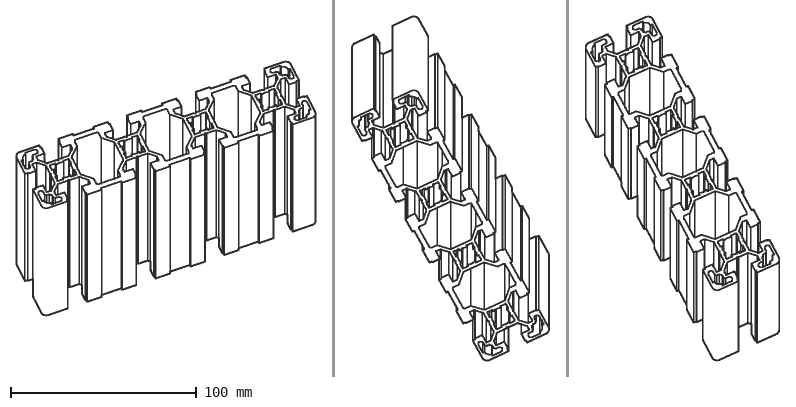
import cadquery as cq
import math

pitch = 40.0
cell_count = 4
length = 100.0
outer_radius = 3.0

mouth_half = 5.1
mouth_step_half = 5.6
mouth_step_depth = 1.5
lip_thickness = 6.1
slot_half = 10.0
groove_half = 0.6
groove_depth = 0.5

core_half = 7.5
bore_half = 5.6
pad_half = 2.3
screw_radius = 5.1
web_offset = 1.3

chamber_half_length = 7.0
chamber_half_width = 15.9
chamber_radius = 1.0
recess_half = 6.0
recess_depth = 1.1

hollow_wall = 1.6
hollow_inner = 4.5
hollow_end = 12.0
hollow_step = 5.5
hollow_step_depth = 2.7
hub_far = 8.1
hub_near = 6.8
hub_root_chamfer = 0.8

half = pitch / 2
total_width = pitch * cell_count
end_cell_y = (total_width - pitch) / 2
cell_centers = [pitch * i - end_cell_y for i in range(cell_count)]
chamber_centers = [y + half for y in cell_centers[:-1]]
web_foot = core_half - web_offset


def prism(outline):
    return outline.close().extrude(length)


def make_blank():
    blank = cq.Workplane("XY").rect(pitch, total_width).extrude(length)
    return blank.edges("|Z").fillet(outer_radius)


def make_slot():
    """T-slot void of a cell centred on the origin, opening toward +Y."""
    lip_y = half - lip_thickness
    step_y = half - mouth_step_depth
    right_side = [
        (groove_half, core_half),
        (web_foot, core_half),
        (slot_half, slot_half + web_offset),
        (slot_half, lip_y),
        (mouth_half, lip_y),
        (mouth_half, step_y),
        (mouth_step_half, step_y),
        (mouth_step_half, half),
    ]
    left_side = [(-x, y) for x, y in reversed(right_side)]
    groove_bottom = (0, core_half - groove_depth)
    return prism(cq.Workplane("XY").polyline([groove_bottom] + right_side + left_side))


def make_bore():
    """Square core void with four pads whose faces lie on the screw circle."""
    bore = cq.Workplane("XY").rect(2 * bore_half, 2 * bore_half).extrude(length)
    pad_length = 2 * (bore_half - screw_radius * math.cos(math.asin(pad_half / screw_radius)))
    pads = (
        cq.Workplane("XY")
        .pushPoints([(0, bore_half), (0, -bore_half)])
        .rect(2 * pad_half, pad_length)
        .extrude(length)
    )
    side_pads = pads.rotate((0, 0, 0), (0, 0, 1), 90)
    screw_circle = cq.Workplane("XY").circle(screw_radius).extrude(length)
    return bore.cut(pads).cut(side_pads).union(screw_circle)


def make_chamber():
    """Chamber void centred midway between two cells."""
    core_y = half - core_half
    web_x = half - chamber_half_length - web_offset
    corners = [
        (web_foot, core_y),
        (web_x, chamber_half_length),
        (chamber_half_width, chamber_half_length),
    ]
    lower_right = [(x, -y) for x, y in reversed(corners)]
    right_side = corners + lower_right
    left_side = [(-x, y) for x, y in reversed(right_side)]
    chamber = prism(cq.Workplane("XY").polyline(right_side + left_side))
    return chamber.edges("|Z and (<X or >X)").fillet(chamber_radius)


def make_recesses():
    """Shallow recesses in both outer faces beside a chamber."""
    return (
        cq.Workplane("XY")
        .pushPoints([(-half, 0), (half, 0)])
        .rect(2 * recess_depth, 2 * recess_half)
        .extrude(length)
    )


def make_corner_hollow():
    """Hollow of the outer corner at the origin, with the part toward +X and +Y."""
    arm_radius = (hollow_inner - hollow_wall) / 2
    arm_middle = hollow_wall + arm_radius
    arm_straight_end = hollow_end - arm_radius
    hub_side = hollow_inner + hub_root_chamfer
    hub_root = hub_far + hub_root_chamfer
    bulge_radius = hollow_step - hollow_step_depth
    bulge_middle = hollow_step - bulge_radius * math.sqrt(0.5)
    outline = (
        cq.Workplane("XY")
        .moveTo(hollow_step, hollow_wall)
        .lineTo(arm_straight_end, hollow_wall)
        .threePointArc((hollow_end, arm_middle), (arm_straight_end, hollow_inner))
        .lineTo(hub_root, hollow_inner)
        .lineTo(hub_far, hub_side)
        .lineTo(hub_far, hub_near)
        .lineTo(hub_near, hub_far)
        .lineTo(hub_side, hub_far)
        .lineTo(hollow_inner, hub_root)
        .lineTo(hollow_inner, arm_straight_end)
        .threePointArc((arm_middle, hollow_end), (hollow_wall, arm_straight_end))
        .lineTo(hollow_wall, hollow_step)
        .lineTo(hollow_step_depth, hollow_step)
        .threePointArc((bulge_middle, bulge_middle), (hollow_step, hollow_step_depth))
    )
    return prism(outline)


def turned(shape, angle):
    return shape.rotate((0, 0, 0), (0, 0, 1), angle)


profile = make_blank()

slot = make_slot()
bore = make_bore()
for y in cell_centers:
    profile = profile.cut(bore.translate((0, y, 0)))
    for angle in (90, -90):
        profile = profile.cut(turned(slot, angle).translate((0, y, 0)))

profile = profile.cut(slot.translate((0, end_cell_y, 0)))
profile = profile.cut(turned(slot, 180).translate((0, -end_cell_y, 0)))

chamber = make_chamber()
recesses = make_recesses()
for y in chamber_centers:
    profile = profile.cut(chamber.translate((0, y, 0)))
    profile = profile.cut(recesses.translate((0, y, 0)))

corner_hollow = make_corner_hollow().translate((-half, -total_width / 2, 0))
end_hollows = corner_hollow.union(corner_hollow.mirror("YZ"))
profile = profile.cut(end_hollows).cut(end_hollows.mirror("XZ"))

result = profile